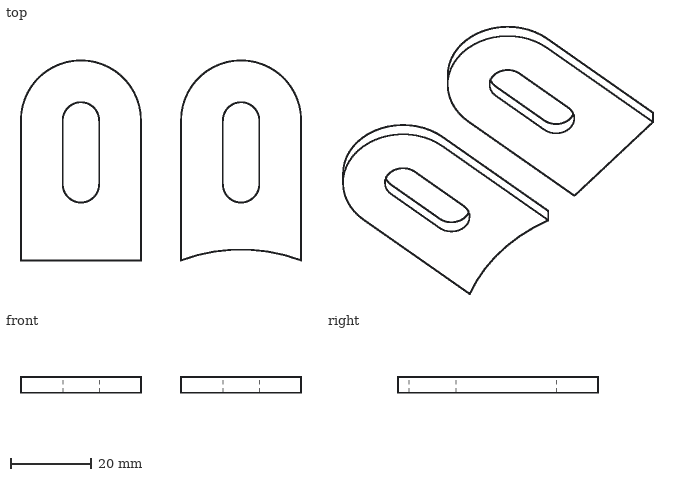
import cadquery as cq

overall_width = 70.0
plate_width = 30.0
plate_length = 50.0
plate_thickness = 4.0
slot_width = 9.0
slot_length = 25.0
end_hollow_depth = 2.7

end_radius = plate_width / 2
straight_length = plate_length - end_radius
plate_spacing = overall_width - plate_width
slot_straight = slot_length - slot_width
slot_center_y = straight_length - slot_straight / 2


def slotted_plate(center_x, hollow_depth=0):
    """Plate with a rounded +Y end, a through slot and a flat or concave -Y end."""
    outline = (
        cq.Workplane("XY", origin=(center_x, 0, 0))
        .moveTo(end_radius, 0)
        .lineTo(end_radius, straight_length)
        .threePointArc((0, plate_length), (-end_radius, straight_length))
        .lineTo(-end_radius, 0)
    )
    if hollow_depth > 0:
        outline = outline.threePointArc((0, hollow_depth), (end_radius, 0))
    plate = outline.close().extrude(plate_thickness)

    slot = (
        cq.Workplane("XY", origin=(center_x, 0, 0))
        .center(0, slot_center_y)
        .slot2D(slot_length, slot_width, 90)
        .extrude(plate_thickness)
    )
    return plate.cut(slot)


flat_end_plate = slotted_plate(-plate_spacing / 2)
concave_end_plate = slotted_plate(plate_spacing / 2, end_hollow_depth)

result = cq.Compound.makeCompound([flat_end_plate.val(), concave_end_plate.val()])